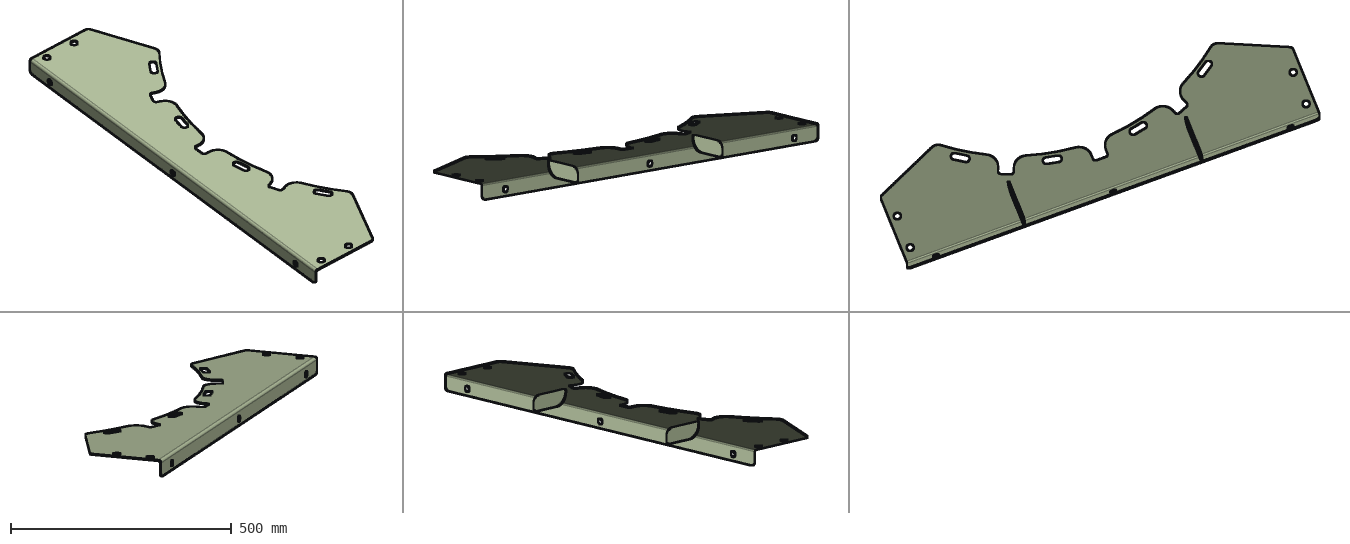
import cadquery as cq
import math

length = 1000.0
flange_height = 40.0
sheet = 3.0
bend_inner_radius = 3.5
bend_outer_radius = bend_inner_radius + sheet
flange_corner_radius = 10.0

end_depth = 172.0
shoulder_angle = 24.4
end_corner_radius = 10.0
peak_radius = 20.0
arc_radius = 517.0
arc_bottom_y = 122.0
arc_center_y = arc_bottom_y + arc_radius

pitch_angle = 22.5
notch_angles = [-pitch_angle, 0, pitch_angle]
slot_angles = [step * pitch_angle for step in (-1.5, -0.5, 0.5, 1.5)]
notch_width = 35.0
notch_depth = 44.0
notch_mouth_radius = 30.0
notch_floor_radius = 6.0
slot_length = 43.0
slot_width = 16.0
slot_arc_offset = 17.0

plate_hole_diameter = 16.0
plate_hole_x = 480.0
plate_hole_rows = [34.0, 115.0]
flange_hole_diameter = 14.0
flange_hole_x = 430.0
flange_hole_z = -24.0

gusset_x = flange_hole_x / 2
gusset_back_y = 104.0
gusset_thickness = sheet
gusset_bend_radius = 17.0
gusset_toe_radius = 8.0
gusset_heel_radius = 5.0
gusset_back_radius = 30.0


def polar_point(radius, angle):
    """Point at a radius from the arc centre; the angle is measured from straight down (-Y)."""
    turn = math.radians(angle)
    return radius * math.sin(turn), arc_center_y - radius * math.cos(turn)


def angle_profile():
    """Bent sheet without its outline: L section with a rounded bend, run along X."""
    ridge_y = end_depth + length / 2 * math.tan(math.radians(shoulder_angle))
    section = (
        cq.Workplane("YZ", origin=(-length / 2, 0, 0))
        .moveTo(ridge_y, 0)
        .lineTo(bend_outer_radius, 0)
        .radiusArc((0, -bend_outer_radius), -bend_outer_radius)
        .lineTo(0, -flange_height)
        .lineTo(sheet, -flange_height)
        .lineTo(sheet, -bend_outer_radius)
        .radiusArc((bend_outer_radius, -sheet), bend_inner_radius)
        .lineTo(ridge_y, -sheet)
        .close()
    )
    return section.extrude(length)


def trim_shoulders(body):
    """Cut the sloping shoulders that rise from both ends."""
    half = length / 2
    ridge_y = end_depth + half * math.tan(math.radians(shoulder_angle))
    for side in (-1, 1):
        corner = [(side * half, end_depth), (side * half, ridge_y), (0, ridge_y)]
        body = body.cut(cq.Workplane("XY").polyline(corner).close().extrude(-sheet))
    return body


def round_edges(body, points, radius):
    """Round the plate edges that stand at the given XY points."""
    for x, y in points:
        edge = cq.selectors.NearestToPointSelector((x, y, -sheet / 2))
        body = body.edges("|Z").edges(edge).fillet(radius)
    return body


def peak_point():
    """Right-hand peak, where the shoulder line meets the large arc."""
    slope = math.tan(math.radians(shoulder_angle))
    rise = end_depth + slope * length / 2 - arc_center_y
    a = 1 + slope**2
    b = -2 * slope * rise
    c = rise**2 - arc_radius**2
    x = (-b + math.sqrt(b**2 - 4 * a * c)) / (2 * a)
    return x, rise + arc_center_y - slope * x


def cut_arc(body):
    """Cut the large arc and round the peaks and the end corners."""
    body = body.cut(cq.Workplane("XY").center(0, arc_center_y).circle(arc_radius).extrude(-sheet))
    x, y = peak_point()
    body = round_edges(body, [(-x, y), (x, y)], peak_radius)
    return round_edges(body, [(-length / 2, end_depth), (length / 2, end_depth)], end_corner_radius)


def cut_notch(body, angle):
    """Cut one notch that runs outward from the large arc, with rounded mouth and floor."""
    floor_radius = arc_radius + notch_depth
    tool_length = 2 * notch_depth
    tool = (
        cq.Workplane("XY")
        .center(0, -floor_radius + tool_length / 2)
        .rect(notch_width, tool_length)
        .extrude(-sheet)
        .edges("|Z and <Y")
        .fillet(notch_floor_radius)
        .rotate((0, 0, 0), (0, 0, 1), angle)
        .translate((0, arc_center_y, 0))
    )
    half_mouth = math.degrees(math.asin(notch_width / 2 / arc_radius))
    mouth = [polar_point(arc_radius, angle + side * half_mouth) for side in (-1, 1)]
    return round_edges(body.cut(tool), mouth, notch_mouth_radius)


def cut_slot(body, angle):
    """Cut one slot that lies along the large arc."""
    x, y = polar_point(arc_radius + slot_arc_offset, angle)
    slot = cq.Workplane("XY").center(x, y).slot2D(slot_length, slot_width, angle).extrude(-sheet)
    return body.cut(slot)


def cut_holes(body):
    """Drill the round holes at the plate ends and along the flange."""
    plate_points = [(x, y) for x in (-plate_hole_x, plate_hole_x) for y in plate_hole_rows]
    plate_holes = cq.Workplane("XY").pushPoints(plate_points).circle(plate_hole_diameter / 2)
    body = body.cut(plate_holes.extrude(-sheet))
    flange_points = [(x, flange_hole_z) for x in (-flange_hole_x, 0, flange_hole_x)]
    flange_holes = cq.Workplane("XZ").pushPoints(flange_points).circle(flange_hole_diameter / 2)
    return body.cut(flange_holes.extrude(-sheet))


def make_bracket():
    body = cut_arc(trim_shoulders(angle_profile()))
    for angle in notch_angles:
        body = cut_notch(body, angle)
    for angle in slot_angles:
        body = cut_slot(body, angle)
    body = cut_holes(body)
    lower_corners = body.faces("<Z").edges("|Y")
    return lower_corners.fillet(flange_corner_radius)


def make_gusset(center_x):
    """Upright web against the plate and the flange, with rounded corners that clear the bend."""
    web = (
        cq.Workplane("YZ", origin=(center_x, 0, 0))
        .moveTo(sheet, -flange_height)
        .lineTo(sheet, -sheet)
        .lineTo(gusset_back_y, -sheet)
        .lineTo(gusset_back_y, -flange_height)
        .close()
        .extrude(gusset_thickness / 2, both=True)
    )
    web = web.faces(">Z").edges("<Y").fillet(gusset_bend_radius)
    web = web.faces("<Z").edges("<Y").fillet(gusset_toe_radius)
    web = web.faces(">Z").edges(">Y").fillet(gusset_heel_radius)
    return web.faces("<Z").edges(">Y").fillet(gusset_back_radius)


bracket = make_bracket()
gussets = [make_gusset(x) for x in (-gusset_x, gusset_x)]

result = cq.Compound.makeCompound([bracket.val(), *[gusset.val() for gusset in gussets]])